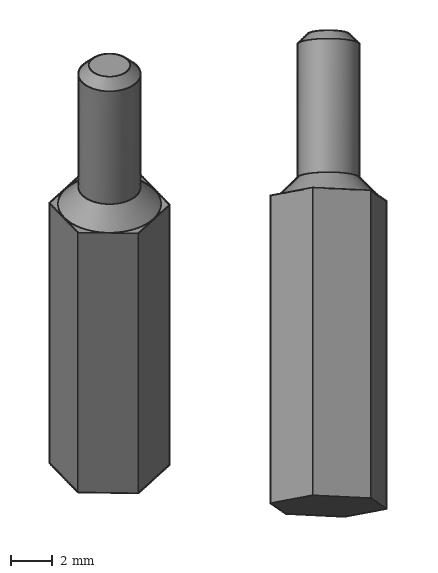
import cadquery as cq
import math

total_height = 23.0
hex_height = 15.0
hex_across_flats = 5.0
stud_diameter = 3.0
cone_base_diameter = 4.95
cone_height = 1.0
tip_chamfer = 0.5

hex_across_corners = hex_across_flats / math.cos(math.radians(30))
body = (
    cq.Workplane("XY")
    .transformed(rotate=(0, 0, 90))
    .polygon(6, hex_across_corners)
    .extrude(hex_height)
)

stud_radius = stud_diameter / 2
shoulder_top = hex_height + cone_height
stud = (
    cq.Workplane("XZ")
    .moveTo(0, hex_height)
    .lineTo(cone_base_diameter / 2, hex_height)
    .lineTo(stud_radius, shoulder_top)
    .lineTo(stud_radius, total_height - tip_chamfer)
    .lineTo(stud_radius - tip_chamfer, total_height)
    .lineTo(0, total_height)
    .close()
    .revolve(360, (0, 0, 0), (0, 1, 0))
)

result = body.union(stud)